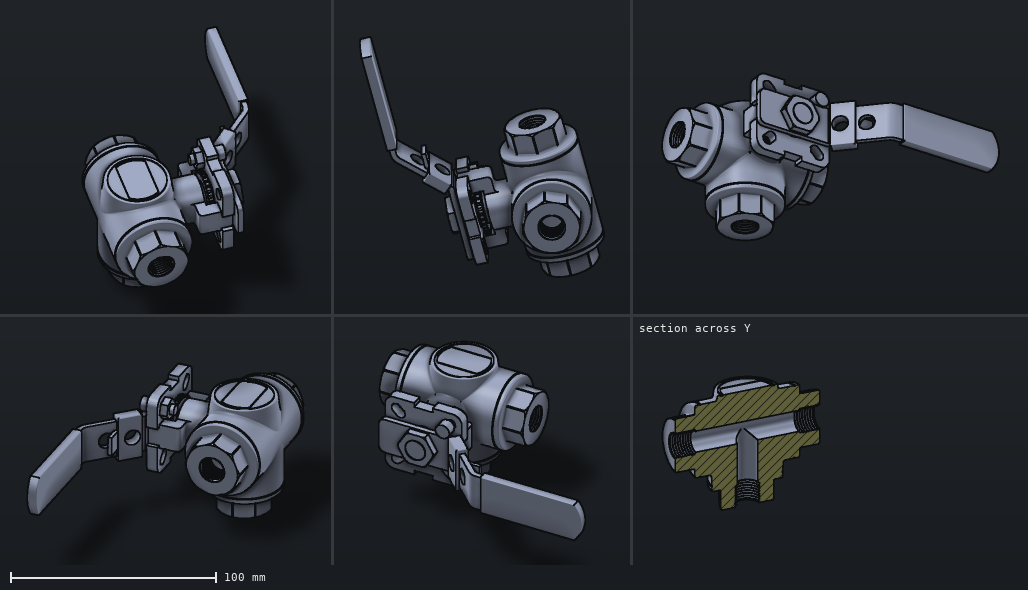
import cadquery as cq
import math


body_radius = 39.0 / 2
body_end = 28.6
barrel_end = 22.5
body_end_round = 1.1
seam_place = 25.3
seam_width = 0.4
seam_depth = 0.3
port_end = 39.4
port_flats = 27.0
port_corner_radius = 14.5
port_chamfer = 0.8
port_root_round = 0.7
bore_diameter = 11.0
thread_diameter = 13.2
thread_crest_diameter = 11.5
thread_depth = 11.3
thread_turns = 8
thread_pitch = thread_depth / thread_turns
blend_radius = 1.1
crotch_radius = 1.4

pick_margin = 0.1

boss_top = 22.1
boss_top_radius = 16.5
boss_base_radius = 19.3
boss_edge_round = 0.5
boss_recess_radius = 14.5
boss_recess_depth = 0.4
label_radius = 13.2
label_height = 14.9

neck_diameter = 23.5
neck_top = 31.4
plate_bottom = 37.0
plate_top = 42.8
plate_side = 42.2
plate_corner_round = 5.2
notch_width = 10.1
notch_depth = 2.4
slot_width = 5.3
slot_inner_radius = 18.0
slot_outer_radius = 21.0
lug_width = 13.0
lug_bottom = 26.0
lug_round = 2.1
lug_root_round = 1.7
lug_outer = plate_side / 2 - notch_depth
lug_inner = 12.0

stem_diameter = 15.8
washer_diameter = 25.9
washer_bottom = 33.4
washer_thickness = 2.4
washer_teeth = 30
tooth_gap = 1.1
tooth_depth = 1.1
spacer_diameter = 18.0
stem_tip_diameter = 11.0
stem_tip_top = 51.7
stem_nut_corners = 20.3
stem_nut_top = 51.2
nut_chamfer = 0.7

stop_offset = 13.2
stop_head_diameter = 7.6
stop_head_top = 48.3
stop_nut_corners = 11.0
stop_nut_bottom = 33.1
stop_nut_turn = -15
stop_thread_diameter = 5.3
stop_thread_end = 30.7

lever_thickness = 3.0
lever_width = 19.3
lever_low = 45.9
lever_high = 68.7
lever_low_bend = -18.0
lever_high_bend = lever_low_bend - (lever_high - lever_low)
lever_tip = 22.2
lever_tip_round = 3.4
lever_bend_round = 4.2
lever_hole_diameter = 8.0
lever_hole_along = 19.7
grip_end = -101.3
grip_start = -46.0
grip_thickness = 4.9
grip_width = 21.1
grip_arc_rise = 3.8
grip_round = 0.4

lock_length = 12.7
lock_thickness = 6.3
lock_width = 24.0
lock_along = 8.0
lock_round = 0.7
lock_hole_along = 6.8
tab_end = -37.6
tab_start = -28.2
tab_bottom = 53.9
tab_thickness = 2.1
tab_width = 9.9


def upright(bottom, x=0.0, z=0.0):
    """Plane whose normal is +Y; local x is +Z and local y is +X."""
    return cq.Workplane(cq.Plane(origin=(x, bottom, z), xDir=(0, 0, 1), normal=(0, 1, 0)))


def rod(diameter, bottom, top, x=0.0, z=0.0):
    return upright(bottom, x, z).circle(diameter / 2).extrude(top - bottom)


def hexagon(corners, bottom, top, x=0.0, z=0.0, turn=0.0):
    """Hexagonal nut along Y, with one corner turned from +X about the Y axis."""
    nut = upright(bottom, x, z).polygon(6, corners).extrude(top - bottom)
    return nut.rotate((x, 0, z), (x, 1, z), 90 + turn)


def port():
    """End section of the barrel with its octagonal head, along +X."""
    start = cq.Workplane("YZ", origin=(barrel_end, 0, 0))
    barrel = start.circle(body_radius).extrude(body_end - barrel_end)
    barrel = barrel.faces(">X").edges().fillet(body_end_round)
    seam = (
        cq.Workplane("YZ", origin=(seam_place, 0, 0))
        .circle(body_radius)
        .circle(body_radius - seam_depth)
        .extrude(seam_width)
    )
    corners = port_flats / math.cos(math.pi / 8)
    octagon = start.polygon(8, corners).extrude(port_end - barrel_end)
    turned = start.circle(port_corner_radius).extrude(port_end - barrel_end)
    octagon = octagon.intersect(turned.faces(">X").edges().chamfer(port_chamfer))
    joined = barrel.cut(seam).union(octagon)
    pick_radius = port_corner_radius + pick_margin
    root = cq.selectors.BoxSelector(
        (body_end - pick_margin, -pick_radius, -pick_radius),
        (body_end + pick_margin, pick_radius, pick_radius),
        boundingbox=True,
    )
    return joined.edges(root).fillet(port_root_round)


def port_bore():
    """Flow bore with the ring grooves of its threaded mouth, along +X."""
    crest = thread_crest_diameter / 2
    profile = [(0, 0), (0, bore_diameter / 2), (port_end - thread_depth, bore_diameter / 2)]
    for turn in range(thread_turns):
        start = port_end - thread_depth + turn * thread_pitch
        profile.append((start, crest))
        profile.append((start + thread_pitch / 2, thread_diameter / 2))
    profile += [(port_end, thread_diameter / 2), (port_end, 0)]
    return cq.Workplane("XY").polyline(profile).close().revolve(360, (0, 0), (1, 0))


def at_each_port(shape):
    """The shape on +X, -X and -Z as one solid."""
    copies = shape
    for angle in (90, 180):
        copies = copies.union(shape.rotate((0, 0, 0), (0, 1, 0), angle))
    return copies


def boss():
    """Tapered round boss towards +Z."""
    profile = [(0, 0), (boss_base_radius, 0), (boss_top_radius, boss_top), (0, boss_top)]
    cone = cq.Workplane("XZ").polyline(profile).close().revolve(360, (0, 0), (0, 1))
    return cone.faces(">Z").edges().fillet(boss_edge_round)


def boss_recess():
    """Shallow round recess around the raised label panel."""
    floor = cq.Workplane("XY", origin=(0, 0, boss_top - boss_recess_depth))
    panel = floor.circle(label_radius).extrude(boss_recess_depth)
    band = floor.rect(2 * label_radius, label_height).extrude(boss_recess_depth)
    return floor.circle(boss_recess_radius).extrude(boss_recess_depth).cut(panel.intersect(band))


def valve_body():
    """Crossing barrels, boss, neck and lugs with their blends, bored through."""
    barrel = cq.Workplane("YZ").circle(body_radius).extrude(barrel_end)
    crossing = at_each_port(barrel).union(rod(neck_diameter, 0, neck_top))
    blended_core = crossing.union(boss()).edges("%BSPLINE").fillet(blend_radius)
    blended_crotch = crossing.edges("%ELLIPSE").fillet(crotch_radius)
    body = blended_core.union(blended_crotch).union(at_each_port(port())).union(lugs())
    lug_roots = cq.selectors.BoxSelector(
        (-neck_diameter, lug_bottom - pick_margin, -lug_width),
        (neck_diameter, lug_bottom + pick_margin, lug_width),
        boundingbox=True,
    )
    body = body.edges(lug_roots).edges("%CIRCLE").fillet(lug_root_round)
    return body.cut(boss_recess()).cut(at_each_port(port_bore()))


def mounting_plate():
    """Square plate with an edge notch in each side and a diagonal slot in each corner."""
    height = plate_top - plate_bottom
    plate = upright(plate_bottom).rect(plate_side, plate_side).extrude(height)
    plate = plate.edges("|Y").fillet(plate_corner_round)
    slot_middle = (slot_inner_radius + slot_outer_radius) / 2
    slot_length = slot_outer_radius - slot_inner_radius + slot_width
    notch = upright(plate_bottom, plate_side / 2).rect(notch_width, 2 * notch_depth).extrude(height)
    slot = upright(plate_bottom, slot_middle).slot2D(slot_length, slot_width, 90).extrude(height)
    for quarter in range(4):
        turn = 90 * quarter
        plate = plate.cut(notch.rotate((0, 0, 0), (0, 1, 0), turn))
        plate = plate.cut(slot.rotate((0, 0, 0), (0, 1, 0), turn + 45))
    return plate


def lugs():
    """Two angled arms that carry the plate on the neck."""
    arms = (
        cq.Workplane("XY")
        .moveTo(0, (lug_bottom + plate_bottom) / 2)
        .rect(2 * lug_outer, plate_bottom - lug_bottom)
        .extrude(lug_width / 2, both=True)
        .edges("|Z and <Y")
        .fillet(lug_round)
    )
    opening = (
        cq.Workplane("XY")
        .moveTo(0, (neck_top + plate_bottom) / 2)
        .rect(2 * lug_inner, plate_bottom - neck_top)
        .extrude(lug_width, both=True)
    )
    return arms.cut(opening)


def toothed_washer():
    top = washer_bottom + washer_thickness
    washer = rod(washer_diameter, washer_bottom, top)
    gaps = (
        upright(washer_bottom)
        .polarArray(washer_diameter / 2, 0, 360, washer_teeth)
        .rect(2 * tooth_depth, tooth_gap)
        .extrude(washer_thickness)
    )
    return washer.cut(gaps)


def stem():
    """Stem with its toothed washer, spacer and top nut."""
    nut_bottom = lever_low + lever_thickness / 2
    nut = hexagon(stem_nut_corners, nut_bottom, stem_nut_top)
    crown = rod(stem_nut_corners, nut_bottom, stem_nut_top).faces(">Y").edges().chamfer(nut_chamfer)
    return (
        rod(stem_diameter, neck_top, plate_bottom)
        .union(toothed_washer())
        .union(rod(spacer_diameter, washer_bottom + washer_thickness, nut_bottom))
        .union(nut.intersect(crown))
        .union(rod(stem_tip_diameter, plate_top, stem_tip_top))
    )


def stop_screw():
    """Stop pin in a plate slot, held by a hexagonal nut underneath."""
    place = {"x": -stop_offset, "z": stop_offset}
    return (
        rod(stop_head_diameter, plate_top, stop_head_top, **place)
        .union(hexagon(stop_nut_corners, stop_nut_bottom, plate_bottom, turn=stop_nut_turn, **place))
        .union(rod(stop_thread_diameter, stop_thread_end, plate_top, **place))
    )


def slope_plane(along):
    """Plane lying in the sloping part of the lever; local x runs up the slope and local y is +Z."""
    reach = along / math.sqrt(2)
    origin = (lever_low_bend - reach, lever_low + reach, 0)
    return cq.Workplane(cq.Plane(origin=origin, xDir=(-1, 1, 0), normal=(1, 1, 0)))


def lever_strip():
    """Bent flat bar: plate over the stem, 45 degree slope, then the part inside the grip."""
    half = lever_thickness / 2
    shift = half * math.tan(math.pi / 8)
    outline = [
        (lever_tip, lever_low + half),
        (lever_low_bend + shift, lever_low + half),
        (lever_high_bend + shift, lever_high + half),
        (grip_start, lever_high + half),
        (grip_start, lever_high - half),
        (lever_high_bend - shift, lever_high - half),
        (lever_low_bend - shift, lever_low - half),
        (lever_tip, lever_low - half),
    ]
    strip = cq.Workplane("XY").polyline(outline).close().extrude(lever_width / 2, both=True)
    strip = strip.edges("|Y and >X").fillet(lever_tip_round)
    outer_bend = cq.selectors.NearestToPointSelector((lever_high_bend + shift, lever_high + half, 0))
    inner_bend = cq.selectors.NearestToPointSelector((lever_high_bend - shift, lever_high - half, 0))
    strip = strip.edges(outer_bend).fillet(lever_bend_round + lever_thickness)
    return strip.edges(inner_bend).fillet(lever_bend_round)


def grip():
    """Flat sleeve with a bowed end."""
    half_width = grip_width / 2
    bow_start = grip_end + grip_arc_rise
    sleeve = (
        cq.Workplane("XZ", origin=(0, lever_high + grip_thickness / 2, 0))
        .moveTo(grip_start, -half_width)
        .lineTo(bow_start, -half_width)
        .threePointArc((grip_end, 0), (bow_start, half_width))
        .lineTo(grip_start, half_width)
        .close()
        .extrude(grip_thickness)
    )
    return sleeve.faces("<Y or >Y").edges().fillet(grip_round)


def sliding_lock():
    """Block around the lever."""
    block = slope_plane(lock_along).box(lock_length, lock_width, lock_thickness)
    return block.faces("<Z or >Z").edges().fillet(lock_round)


def lock_tab():
    """Tongue bent level from the upper end of the lock."""
    return (
        cq.Workplane("XY")
        .moveTo((tab_start + tab_end) / 2, tab_bottom + tab_thickness / 2)
        .rect(tab_start - tab_end, tab_thickness)
        .extrude(tab_width / 2, both=True)
    )


def lever():
    """Handle with two padlock holes through its slope and the lock tab."""
    handle = lever_strip().union(grip()).union(sliding_lock())
    for along in (lock_hole_along, lever_hole_along):
        start = slope_plane(along).workplane(offset=-lock_thickness)
        hole = start.circle(lever_hole_diameter / 2).extrude(2 * lock_thickness)
        handle = handle.cut(hole)
    return handle.union(lock_tab())


result = (
    valve_body()
    .union(mounting_plate())
    .union(stem())
    .union(stop_screw())
    .union(lever())
)